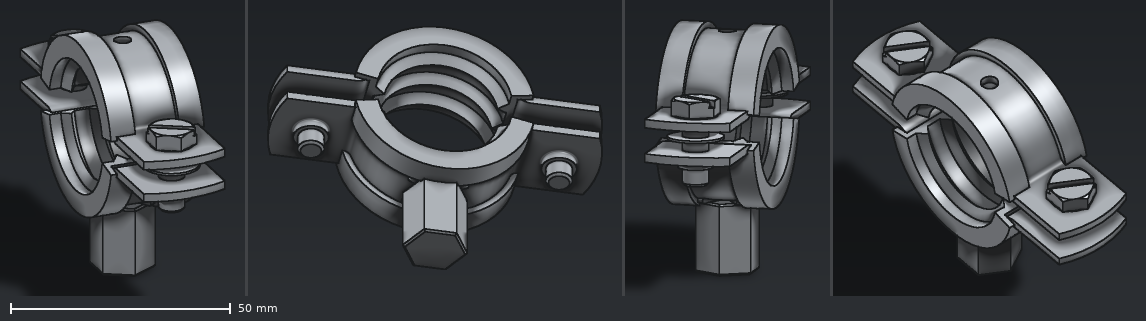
import cadquery as cq
import math


HEX_CORNER_RATIO = 2 / math.sqrt(3)

LINER_LENGTH = 23.0
LINER_OUTER_R = 21.0
LINER_GROOVE_R = 15.75
LINER_RIDGE_R = 13.4
LINER_WINDOW = 10.85
LINER_END_ANGLE = 11.3
RIDGE_PITCH = 7.0
RIDGE_BASE = 3.35
RIDGE_COUNT = 3

STRAP_WIDTH = 20.0
STRAP_THICKNESS = 2.0
STRAP_OUTER_R = 19.5
STRAP_INNER_R = STRAP_OUTER_R - STRAP_THICKNESS
BEND_INNER_R = 2.0
BEND_OUTER_R = BEND_INNER_R + STRAP_THICKNESS
EAR_TIP_X = 38.2
EAR_CORNER_X = 36.2
EAR_INNER_Z = 3.0
EAR_OUTER_Z = EAR_INNER_Z + STRAP_THICKNESS
DIMPLE_D = 4.0

COLLAR_D = 8.0
COLLAR_HEIGHT = 2.0
COLLAR_FILLET = 0.5

SCREW_X = 28.7
SHANK_D = 6.0
SHANK_END_Z = -11.1
SHANK_CHAMFER = 0.6
HEAD_FLATS = 10.0
HEAD_HEIGHT = 4.0
BEARING_FACE_D = 10.0
BEARING_FACE_HEIGHT = 0.2
HEAD_CHAMFER_ANGLE = 30
SLOT_WIDTH = 1.6
SLOT_DEPTH = 1.5
SLOT_ANGLE = 60

WASHER_D = 13.0
WASHER_THICKNESS = 0.5

BOSS_FLATS = 13.0
BOSS_TOP_Z = -STRAP_OUTER_R
BOSS_END_Z = -36.05
BOSS_CHAMFER = 0.45
WELD_R = 8.1
WELD_TOP_Z = -18.4
WELD_BOTTOM_Z = -19.55
WELD_ROUND = 0.5
WELD_GAP_HALF_ANGLE = 30


def polar(radius, degrees):
    angle = math.radians(degrees)
    return (radius * math.cos(angle), radius * math.sin(angle))


def y_cylinder(radius, length):
    return cq.Workplane("XZ").circle(radius).extrude(length / 2, both=True)


def z_cylinder(diameter, bottom_z, top_z, x=0):
    disc = cq.Workplane("XY", origin=(x, 0, bottom_z)).circle(diameter / 2)
    return disc.extrude(top_z - bottom_z)


def hex_prism(across_flats, bottom_z, top_z, x=0):
    outline = cq.Workplane("XY", origin=(x, 0, bottom_z)).polygon(6, across_flats * HEX_CORNER_RATIO)
    return outline.extrude(top_z - bottom_z)



def strap_blank():
    """Upper half ring with bent-out ears and a screw hole in each ear."""
    bend_z = EAR_OUTER_Z + BEND_INNER_R
    bend_x = math.sqrt((STRAP_OUTER_R + BEND_INNER_R) ** 2 - bend_z**2)
    ring_angle = math.degrees(math.atan2(bend_z, bend_x))
    bend_mid_angle = 180 + (ring_angle + 90) / 2

    def bend_middle(radius):
        dx, dz = polar(radius, bend_mid_angle)
        return (bend_x + dx, bend_z + dz)

    def left(point):
        return (-point[0], point[1])

    outer_end = polar(STRAP_OUTER_R, ring_angle)
    inner_end = polar(STRAP_INNER_R, ring_angle)
    outer_bend = bend_middle(BEND_INNER_R)
    inner_bend = bend_middle(BEND_OUTER_R)
    section = (
        cq.Workplane("XZ")
        .moveTo(-EAR_TIP_X, EAR_OUTER_Z)
        .lineTo(-bend_x, EAR_OUTER_Z)
        .threePointArc(left(outer_bend), left(outer_end))
        .threePointArc((0, STRAP_OUTER_R), outer_end)
        .threePointArc(outer_bend, (bend_x, EAR_OUTER_Z))
        .lineTo(EAR_TIP_X, EAR_OUTER_Z)
        .lineTo(EAR_TIP_X, EAR_INNER_Z)
        .lineTo(bend_x, EAR_INNER_Z)
        .threePointArc(inner_bend, inner_end)
        .threePointArc((0, STRAP_INNER_R), left(inner_end))
        .threePointArc(left(inner_bend), (-bend_x, EAR_INNER_Z))
        .lineTo(-EAR_TIP_X, EAR_INNER_Z)
        .close()
    )
    blank = section.extrude(STRAP_WIDTH / 2, both=True)

    half_width = STRAP_WIDTH / 2
    plan = (
        cq.Workplane("XY")
        .moveTo(-EAR_CORNER_X, -half_width)
        .lineTo(EAR_CORNER_X, -half_width)
        .threePointArc((EAR_TIP_X, 0), (EAR_CORNER_X, half_width))
        .lineTo(-EAR_CORNER_X, half_width)
        .threePointArc((-EAR_TIP_X, 0), (-EAR_CORNER_X, -half_width))
        .close()
        .extrude(LINER_OUTER_R)
    )
    blank = blank.intersect(plan)
    for x in (-SCREW_X, SCREW_X):
        blank = blank.cut(z_cylinder(SHANK_D, EAR_INNER_Z, EAR_OUTER_Z, x))
    return blank


def make_upper_strap():
    dimple = z_cylinder(DIMPLE_D, 0, LINER_OUTER_R)
    return strap_blank().cut(dimple)


def make_lower_strap():
    strap = strap_blank().mirror("XY")
    half_d = COLLAR_D / 2
    half_hole = SHANK_D / 2
    ear_z = -EAR_OUTER_Z
    fillet_shift = COLLAR_FILLET * (1 - math.sqrt(0.5))
    for x in (-SCREW_X, SCREW_X):
        collar = (
            cq.Workplane("XZ", origin=(x, 0, 0))
            .moveTo(half_hole, ear_z)
            .lineTo(half_d + COLLAR_FILLET, ear_z)
            .threePointArc(
                (half_d + fillet_shift, ear_z - fillet_shift),
                (half_d, ear_z - COLLAR_FILLET),
            )
            .lineTo(half_d, ear_z - COLLAR_HEIGHT)
            .lineTo(half_hole, ear_z - COLLAR_HEIGHT)
            .close()
            .revolve(360, (0, 0), (0, 1))
        )
        strap = strap.union(collar)
    return strap



def make_weld():
    """Rounded puck between the boss and the strap, left open in a wedge on the -X and +X sides."""
    puck = z_cylinder(2 * WELD_R, WELD_BOTTOM_Z, WELD_TOP_Z).edges().fillet(WELD_ROUND)
    reach = 2 * WELD_R
    half_opening = reach * math.tan(math.radians(WELD_GAP_HALF_ANGLE))
    wedges = (
        cq.Workplane("XY", origin=(0, 0, WELD_BOTTOM_Z))
        .polyline([(0, 0), (reach, half_opening), (reach, -half_opening)]).close()
        .polyline([(0, 0), (-reach, half_opening), (-reach, -half_opening)]).close()
        .extrude(WELD_TOP_Z - WELD_BOTTOM_Z)
    )
    return puck.cut(wedges).cut(y_cylinder(STRAP_OUTER_R, LINER_LENGTH))


def make_boss():
    boss = hex_prism(BOSS_FLATS, BOSS_END_Z, BOSS_TOP_Z)
    boss = boss.faces("<Z or >Z").chamfer(BOSS_CHAMFER)
    return boss.union(make_weld())



def liner_ring():
    """Full ring with sharp ridges round the bore and a channel that holds the strap."""
    half_length = LINER_LENGTH / 2
    profile = [(LINER_OUTER_R, -half_length), (LINER_GROOVE_R, -half_length)]
    for index in range(RIDGE_COUNT):
        ridge_y = (index - (RIDGE_COUNT - 1) / 2) * RIDGE_PITCH
        profile += [
            (LINER_GROOVE_R, ridge_y - RIDGE_BASE / 2),
            (LINER_RIDGE_R, ridge_y),
            (LINER_GROOVE_R, ridge_y + RIDGE_BASE / 2),
        ]
    profile += [(LINER_GROOVE_R, half_length), (LINER_OUTER_R, half_length)]
    ring = cq.Workplane("XY").polyline(profile).close().revolve(360, (0, 0), (0, 1))

    core = y_cylinder(STRAP_INNER_R, LINER_LENGTH)
    channel = y_cylinder(STRAP_OUTER_R, STRAP_WIDTH).cut(core)
    window = y_cylinder(2 * LINER_OUTER_R, LINER_WINDOW).cut(core)
    return ring.cut(channel).cut(window)


def make_liner(side):
    """Liner half above (side = 1) or below (side = -1) the parting plane, with radial end faces."""
    reach = 2 * LINER_OUTER_R
    end_x, end_z = polar(reach, LINER_END_ANGLE)
    sector = (
        cq.Workplane("XZ")
        .polyline([(0, 0), (end_x, side * end_z), (end_x, side * reach),
                   (-end_x, side * reach), (-end_x, side * end_z)])
        .close()
        .extrude(LINER_LENGTH / 2, both=True)
    )
    return liner_ring().intersect(sector)



def make_screw(x):
    head_top = EAR_OUTER_Z + HEAD_HEIGHT
    hex_bottom = EAR_OUTER_Z + BEARING_FACE_HEIGHT
    bearing_face = z_cylinder(BEARING_FACE_D, EAR_OUTER_Z, hex_bottom, x)
    shank = z_cylinder(SHANK_D, SHANK_END_Z, EAR_OUTER_Z, x).faces("<Z").chamfer(SHANK_CHAMFER)

    cone_base_r = HEAD_FLATS
    cone_drop = (cone_base_r - HEAD_FLATS / 2) * math.tan(math.radians(HEAD_CHAMFER_ANGLE))
    trim = (
        cq.Workplane("XZ", origin=(x, 0, 0))
        .polyline([
            (0, hex_bottom), (cone_base_r, hex_bottom), (cone_base_r, head_top - cone_drop),
            (HEAD_FLATS / 2, head_top), (0, head_top),
        ])
        .close()
        .revolve(360, (0, 0), (0, 1))
    )
    head = hex_prism(HEAD_FLATS, hex_bottom, head_top, x).intersect(trim)
    slot = (
        cq.Workplane("XY", origin=(x, 0, head_top - SLOT_DEPTH))
        .transformed(rotate=(0, 0, SLOT_ANGLE))
        .rect(2 * HEAD_FLATS, SLOT_WIDTH)
        .extrude(SLOT_DEPTH)
    )
    return head.cut(slot).union(bearing_face).union(shank)


def make_washer(x):
    half = WASHER_THICKNESS / 2
    return z_cylinder(WASHER_D, -half, half, x).cut(z_cylinder(SHANK_D, -half, half, x))


upper_strap = make_upper_strap()
lower_strap = make_lower_strap()
boss = make_boss()
upper_liner = make_liner(1).cut(upper_strap)
lower_liner = make_liner(-1).cut(lower_strap).cut(boss)

screws = []
washers = []
for screw_x in (-SCREW_X, SCREW_X):
    screws.append(make_screw(screw_x).val())
    washers.append(make_washer(screw_x).val())

result = cq.Compound.makeCompound([
    upper_strap.val(),
    lower_strap.val(),
    upper_liner.val(),
    lower_liner.val(),
    boss.val(),
    *screws,
    *washers,
])